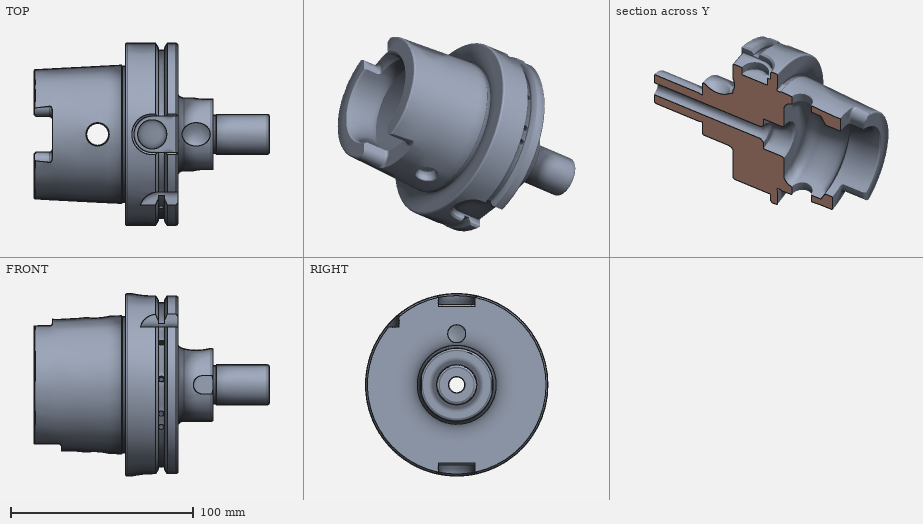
import cadquery as cq
import math


clearance = 1.3

shank_length = 50.0
shank_front_radius = 35.5
shank_rear_radius = 37.9
shank_rear_x = 47.9
shank_edge = 0.9
neck_radius = 37.4
face_groove_radius = 39.0
face_groove_depth = 0.4

flange_radius = 50.0
flange_end = 79.0
flange_edge = 1.0
groove_center = 69.8
groove_floor_radius = 46.12
groove_floor_width = 3.2
groove_flank_radius = 47.2
groove_flank_angle = 60
groove_flank_run = (flange_radius - groove_flank_radius) / math.tan(math.radians(groove_flank_angle))

collar_radius = 20.0
collar_end = 98.2
collar_edge = 1.2
collar_fillet_radius = 3.7
collar_fillet_length = 3.1
spigot_radius = 11.0
spigot_end = 129.0
spigot_edge = 1.4
spigot_relief_radius = 10.6
spigot_relief_end = 99.6
spigot_relief_ramp = 0.5

mouth_radius = 26.2
mouth_chamfer = 0.9
clamp_shoulder_x = 19.6
clamp_shoulder_slope = 60
chamber_radius = 31.5
bore_depth = 46.0
bore_floor_fillet = 6.0
pipe_radius = 11.2
pipe_depth = 12.9
pipe_chamfer = 1.0
channel_radius = 4.4
channel_mouth_radius = 6.5

drive_half_width = 9.7
drive_round = 5.2
drive_ledge = 32.4
drive_floor_fillet = 1.5
drive_chamfer = 1.2
upper_drive_depth = 10.0
lower_drive_depth = 15.0

cross_hole_x = 34.8
cross_hole_radius = 6.0
cross_hole_chamfer = 0.4

keyway_half_width = 10.0
keyway_center = 64.8
keyway_floor = 44.0
keyway_chamfer = 1.2
keyway_hole_radius = 8.0
keyway_hole_depth = 5.4

notch_x = 57.8
notch_offset = 31.6
notch_corner_radius = 10.3

balance_hole_radius = 1.5
balance_hole_depth = 9.0
balance_hole_angles = (30, 4, -20, -30)

dimple_x = 88.9
dimple_radius = 11.1
dimple_center_z = 28.0
flat_half_width = 5.0
flat_start = 87.3
flat_offset = 19.29


def revolve_about_x(sketch):
    return sketch.close().revolve(360, (0, 0, 0), (1, 0, 0))


def edge_middle(x, r, radius, facing):
    """Middle of a rounded outer edge at corner (x, r); facing is +1 if the edge faces +X, else -1."""
    inset = radius * (1 - math.sqrt(0.5))
    return (x - facing * inset, r - inset)


def body():
    groove_left = groove_center - groove_floor_width / 2
    groove_right = groove_center + groove_floor_width / 2
    fillet_end = flange_end + collar_fillet_length
    fillet_center_r = collar_radius + collar_fillet_radius

    def fillet_r(x):
        return fillet_center_r - math.sqrt(collar_fillet_radius**2 - (fillet_end - x) ** 2)

    fillet_mid_x = flange_end + collar_fillet_length / 2
    sketch = (
        cq.Workplane("XY")
        .lineTo(0, shank_front_radius - shank_edge)
        .threePointArc(
            edge_middle(0, shank_front_radius, shank_edge, -1),
            (shank_edge, shank_front_radius),
        )
        .lineTo(shank_rear_x, shank_rear_radius)
        .lineTo(shank_rear_x + shank_rear_radius - neck_radius, neck_radius)
        .lineTo(shank_length + face_groove_depth, neck_radius)
        .lineTo(shank_length + face_groove_depth, face_groove_radius)
        .lineTo(shank_length, face_groove_radius)
        .lineTo(shank_length, flange_radius - flange_edge)
        .threePointArc(
            edge_middle(shank_length, flange_radius, flange_edge, -1),
            (shank_length + flange_edge, flange_radius),
        )
        .lineTo(groove_left - groove_flank_run, flange_radius)
        .lineTo(groove_left, groove_flank_radius)
        .lineTo(groove_left, groove_floor_radius)
        .lineTo(groove_right, groove_floor_radius)
        .lineTo(groove_right, groove_flank_radius)
        .lineTo(groove_right + groove_flank_run, flange_radius)
        .lineTo(flange_end - flange_edge, flange_radius)
        .lineTo(flange_end, flange_radius - flange_edge)
        .lineTo(flange_end, fillet_r(flange_end))
        .threePointArc((fillet_mid_x, fillet_r(fillet_mid_x)), (fillet_end, collar_radius))
        .lineTo(collar_end - collar_edge, collar_radius)
        .threePointArc(
            edge_middle(collar_end, collar_radius, collar_edge, 1),
            (collar_end, collar_radius - collar_edge),
        )
        .lineTo(collar_end, spigot_relief_radius)
        .lineTo(spigot_relief_end, spigot_relief_radius)
        .lineTo(spigot_relief_end + spigot_relief_ramp, spigot_radius)
        .lineTo(spigot_end - spigot_edge, spigot_radius)
        .threePointArc(
            edge_middle(spigot_end, spigot_radius, spigot_edge, 1),
            (spigot_end, spigot_radius - spigot_edge),
        )
        .lineTo(spigot_end, 0)
    )
    return revolve_about_x(sketch)


def bore():
    shoulder_run = (chamber_radius - mouth_radius) / math.tan(math.radians(clamp_shoulder_slope))
    fillet_x = bore_depth - bore_floor_fillet
    fillet_r = chamber_radius - bore_floor_fillet
    fillet_mid = bore_floor_fillet * math.sqrt(0.5)
    pipe_end = bore_depth + pipe_depth
    sketch = (
        cq.Workplane("XY")
        .lineTo(0, mouth_radius + mouth_chamfer)
        .lineTo(mouth_chamfer, mouth_radius)
        .lineTo(clamp_shoulder_x, mouth_radius)
        .lineTo(clamp_shoulder_x + shoulder_run, chamber_radius)
        .lineTo(fillet_x, chamber_radius)
        .threePointArc((fillet_x + fillet_mid, fillet_r + fillet_mid), (bore_depth, fillet_r))
        .lineTo(bore_depth, pipe_radius + pipe_chamfer)
        .lineTo(bore_depth + pipe_chamfer, pipe_radius)
        .lineTo(pipe_end, pipe_radius)
        .lineTo(pipe_end, channel_mouth_radius)
        .lineTo(pipe_end + channel_mouth_radius - channel_radius, channel_radius)
        .lineTo(spigot_end, channel_radius)
        .lineTo(spigot_end, 0)
    )
    return revolve_about_x(sketch)


def drive_slot(depth):
    """Cutter for the upper drive slot, its walls rolling over to a ledge at the outside."""
    inner_z = mouth_radius / 2
    outer_z = shank_rear_radius + clearance
    wall_top = drive_ledge - drive_round
    roll_y = drive_half_width + drive_round
    ledge_y = roll_y + drive_round
    bend = drive_round * (1 - math.sqrt(0.5))
    slot = (
        cq.Workplane("YZ")
        .moveTo(-drive_half_width, inner_z)
        .lineTo(drive_half_width, inner_z)
        .lineTo(drive_half_width, wall_top)
        .threePointArc((drive_half_width + bend, drive_ledge - bend), (roll_y, drive_ledge))
        .lineTo(ledge_y, drive_ledge)
        .lineTo(ledge_y, outer_z)
        .lineTo(-ledge_y, outer_z)
        .lineTo(-ledge_y, drive_ledge)
        .lineTo(-roll_y, drive_ledge)
        .threePointArc((-drive_half_width - bend, drive_ledge - bend), (-drive_half_width, wall_top))
        .close()
        .extrude(depth)
        .faces(">X")
        .edges()
        .fillet(drive_floor_fillet)
    )
    chamfer = (
        cq.Workplane("XY", origin=(0, 0, inner_z))
        .moveTo(0, -drive_half_width - drive_chamfer)
        .lineTo(0, drive_half_width + drive_chamfer)
        .lineTo(drive_chamfer, drive_half_width)
        .lineTo(drive_chamfer, -drive_half_width)
        .close()
        .extrude(drive_ledge - inner_z)
    )
    return slot.union(chamfer)


def drill_cross_hole(part):
    """Drill through the still solid taper and break the two rims of the hole."""
    hole = cq.Workplane("XY").center(cross_hole_x, 0).circle(cross_hole_radius)
    drilled = part.cut(hole.extrude(shank_rear_radius + clearance, both=True))
    reach = cross_hole_radius + clearance
    around_hole = cq.selectors.BoxSelector(
        (cross_hole_x - reach, -reach, -shank_rear_radius),
        (cross_hole_x + reach, reach, shank_rear_radius),
        boundingbox=True,
    )
    return drilled.edges(around_hole).edges("not |Z").chamfer(cross_hole_chamfer)


def keyway():
    """Cutter for the upper flange keyway, round at the front, with a bevel at its rear floor edge."""
    length = flange_end - keyway_center
    slot = (
        cq.Workplane("XY", origin=(keyway_center, 0, keyway_floor))
        .moveTo(0, keyway_half_width)
        .threePointArc((-keyway_half_width, 0), (0, -keyway_half_width))
        .lineTo(length, -keyway_half_width)
        .lineTo(length, keyway_half_width)
        .close()
        .extrude(flange_radius - keyway_floor + clearance)
    )
    bevel = (
        cq.Workplane("XZ", origin=(flange_end, keyway_half_width, keyway_floor))
        .lineTo(-keyway_chamfer, 0)
        .lineTo(0, -keyway_chamfer)
        .close()
        .extrude(2 * keyway_half_width)
    )
    return slot.union(bevel)


def chamfer_keyway_rims(part):
    """Break the edges where both keyways meet the outside of the flange."""
    margin = keyway_chamfer / 4
    front_x = keyway_center - keyway_half_width - margin
    y_reach = keyway_half_width + margin
    rim_z = math.sqrt(flange_radius**2 - keyway_half_width**2) - margin
    top_z = flange_radius + margin
    for low_z, high_z in ((rim_z, top_z), (-top_z, -rim_z)):
        rim = cq.selectors.BoxSelector(
            (front_x, -y_reach, low_z), (flange_end, y_reach, high_z), boundingbox=True
        )
        part = part.edges(rim).chamfer(keyway_chamfer)
    return part


def keyway_hole():
    floor = keyway_floor - keyway_hole_depth
    hole = cq.Workplane("XY", origin=(keyway_center, 0, floor)).circle(keyway_hole_radius)
    return hole.extrude(flange_radius - floor)


def orientation_notch():
    length = flange_end - notch_x + clearance
    size = flange_radius - notch_offset
    return (
        cq.Workplane("XY")
        .box(length, size, size, centered=False)
        .edges("|Z and <X and >Y")
        .fillet(notch_corner_radius)
        .translate((notch_x, -flange_radius, notch_offset))
    )


def balance_hole(angle):
    """Radial hole in the groove floor, turned upward from -Y by the angle in degrees."""
    bottom = groove_floor_radius - balance_hole_depth
    hole = cq.Workplane("XZ", origin=(groove_center, -bottom, 0)).circle(balance_hole_radius)
    drill = hole.extrude(groove_flank_radius - bottom)
    return drill.rotate((0, 0, 0), (1, 0, 0), -angle)


def dimple():
    return cq.Workplane("XY").sphere(dimple_radius).translate((dimple_x, 0, dimple_center_z))


def collar_flat():
    """Cutter for the round-ended flat on the -Y side of the collar."""
    length = collar_end - flat_start
    outline = (
        cq.Workplane("XZ", origin=(flat_start, -flat_offset, 0))
        .moveTo(length, flat_half_width)
        .lineTo(flat_half_width, flat_half_width)
        .threePointArc((0, 0), (flat_half_width, -flat_half_width))
        .lineTo(length, -flat_half_width)
        .close()
    )
    return outline.extrude(collar_radius - flat_offset + clearance)


result = body().cut(keyway()).cut(keyway().mirror("XY"))
result = chamfer_keyway_rims(result)
result = result.cut(keyway_hole())
result = drill_cross_hole(result)
result = result.cut(bore())
result = result.cut(drive_slot(upper_drive_depth))
result = result.cut(drive_slot(lower_drive_depth).mirror("XY"))
result = result.cut(orientation_notch())
for hole_angle in balance_hole_angles:
    result = result.cut(balance_hole(hole_angle))
result = result.cut(dimple())
result = result.cut(collar_flat()).cut(collar_flat().mirror("XZ"))